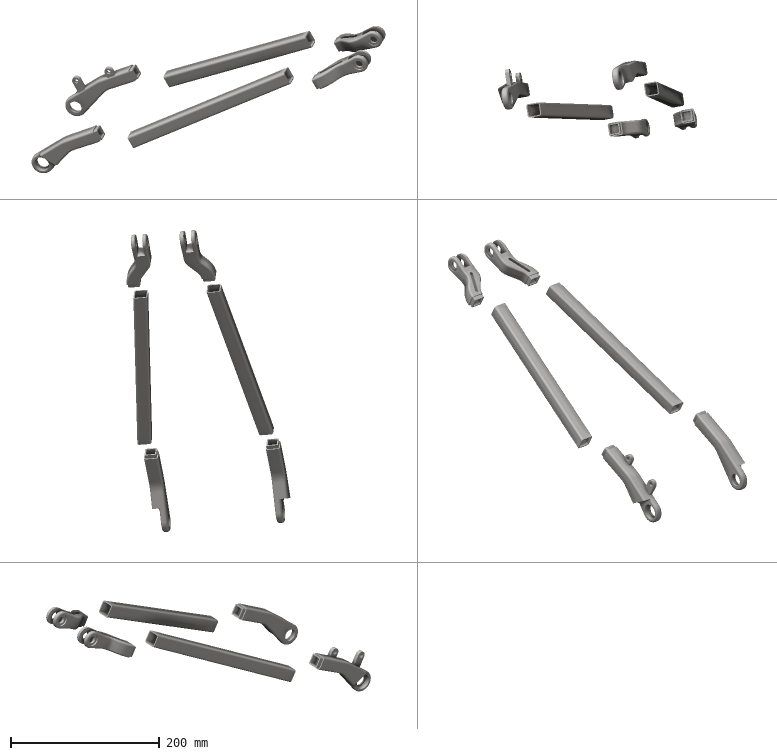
import cadquery as cq
import math

OVERALL_WIDTH = 186.45
PITCH = 29.3
SPLAY = 7.9
BAR_WIDTH = 19.2
BAR_HEIGHT = 18.4
EDGE_RADIUS = 3.0
TUBE_WALL = 1.5
OUTER_Y = OVERALL_WIDTH / 2
INNER_Y = OUTER_Y - BAR_WIDTH

TENON_LENGTH = 5.5
TENON_WIDTH = BAR_WIDTH - 2 * TUBE_WALL
TENON_HEIGHT = BAR_HEIGHT - 2 * TUBE_WALL
TENON_WALL = 1.8
TENON_EDGE_RADIUS = EDGE_RADIUS - TUBE_WALL
SOCKET_EDGE_RADIUS = 1.0
SOCKET_DEPTH = 10.0

EYE_RADIUS = 15.1
EYE_THICKNESS = 9.2
EYE_BORE = 17.0
EYE_COUNTERBORE = 21.0
EYE_LIP = 2.0
BEND_TOP = (31.2, 45.8)
ARM_TOP_LENGTH = 49.6
BEND_BOTTOM = (42.6, 32.4)
BEND_TOP_RADIUS = 45.0
BEND_BOTTOM_RADIUS = 30.0
STEP_START = (-0.6, 19.8)
STEP_ANGLE = -26.3
STEP_FILLET = 2.2

LUG_CENTERS = [(0.7, 40.2), (46.2, 62.4)]
LUG_LENGTHS = [22.0, 13.0]
LUG_RADIUS = 5.8
LUG_HOLE = 6.2
LUG_THICKNESS = 5.6
LUG_INSET = 1.1

TUBE_LENGTH = 241.5
TUBE_START = (128.2, 61.0)

FORK_HEAD = (435.17, 209.32)
FORK_HEAD_RADIUS = 12.0
FORK_REACH = 61.0
FORK_Y = 51.5
FORK_SLANT = 40.0
FORK_FLARE_START = 40.0
CLEVIS_OUTER = -7.4
CLEVIS_WIDTH = 21.3
CLEVIS_INNER = CLEVIS_OUTER - CLEVIS_WIDTH
SLOT_WIDTH = 10.5
SLOT_START = 46.5
OUTER_BEND = 12.0
INNER_BEND = 6.0
OUTER_BEND_RADIUS = 36.0
OUTER_CORNER_RADIUS = 13.0
INNER_BEND_RADIUS = 16.0
INNER_CORNER_RADIUS = 18.0
FORK_EDGE_RADIUS = 2.5
CROSS_HOLE = 10.0
CROSS_COUNTERBORE = 15.8
COUNTERBORE_DEPTH = 2.0
POCKET_START = (7.3, -3.6)
POCKET_END = (34.4, -16.1)
POCKET_WIDTH = 5.0
POCKET_DEPTH = 4.0


def along(angle, distance):
    """Offset of the given length at an angle in degrees."""
    a = math.radians(angle)
    return distance * math.cos(a), distance * math.sin(a)


def along_xz(angle):
    """Unit direction in the XZ plane at an angle above X."""
    x, z = along(angle, 1)
    return x, 0, z


def shifted(point, offset):
    return point[0] + offset[0], point[1] + offset[1]


def tangent_point(corner, center, radius, side):
    """Where a line from corner touches the circle; side +1 or -1 picks the touch point."""
    dx = corner[0] - center[0]
    dz = corner[1] - center[1]
    swing = math.acos(radius / math.hypot(dx, dz))
    a = math.atan2(dz, dx) + side * swing
    return center[0] + radius * math.cos(a), center[1] + radius * math.sin(a)


def pitched(body, x, z, y=0.0):
    """Turns a body from strut axes (length along X) to its place in the part."""
    return body.rotate((0, 0, 0), (0, 1, 0), -PITCH).translate((x, y, z))


def rounded_bar(width, height, length, radius):
    """Bar along +X from the origin with rounded long edges."""
    bar = cq.Workplane("YZ").rect(width, height).extrude(length)
    return bar.edges("|X").fillet(radius)


def with_tenon(body, place):
    """Adds a tenon with a blind socket in its end; place moves it from the origin, pointing along +X."""
    tenon = rounded_bar(TENON_WIDTH, TENON_HEIGHT, TENON_LENGTH, TENON_EDGE_RADIUS)
    socket = rounded_bar(
        TENON_WIDTH - 2 * TENON_WALL, TENON_HEIGHT - 2 * TENON_WALL, SOCKET_DEPTH, SOCKET_EDGE_RADIUS
    ).translate((TENON_LENGTH - SOCKET_DEPTH, 0, 0))
    return body.union(place(tenon)).cut(place(socket))


def arm_plate(width):
    """Eye arm outline with rounded edges, from INNER_Y outwards."""
    shoulder_top = shifted(BEND_TOP, along(PITCH, ARM_TOP_LENGTH))
    shoulder_bottom = shifted(shoulder_top, along(PITCH - 90, BAR_HEIGHT))
    eye_top = tangent_point(BEND_TOP, (0, 0), EYE_RADIUS, 1)
    eye_bottom = tangent_point(BEND_BOTTOM, (0, 0), EYE_RADIUS, -1)
    far_angle = math.degrees(math.atan2(BEND_TOP[1], BEND_TOP[0])) + 180
    plate = (
        cq.Workplane("XZ", origin=(0, INNER_Y, 0))
        .moveTo(*eye_top)
        .lineTo(*BEND_TOP)
        .lineTo(*shoulder_top)
        .lineTo(*shoulder_bottom)
        .lineTo(*BEND_BOTTOM)
        .lineTo(*eye_bottom)
        .threePointArc(along(far_angle, EYE_RADIUS), eye_top)
        .close()
        .extrude(-width)
    )
    middle_y = INNER_Y + width / 2
    for point, radius in [(BEND_TOP, BEND_TOP_RADIUS), (BEND_BOTTOM, BEND_BOTTOM_RADIUS)]:
        bend = cq.NearestToPointSelector((point[0], middle_y, point[1]))
        plate = plate.edges("|Y").edges(bend).fillet(radius)
    across_shoulder = cq.ParallelDirSelector(cq.Vector(*along_xz(PITCH - 90)))
    return plate.faces("<Y or >Y").edges(-across_shoulder).fillet(EDGE_RADIUS)


def step_waste():
    """Everything on the eye side of the step, deep enough to cover the eye."""
    reach = 3 * EYE_RADIUS
    left = shifted(STEP_START, along(STEP_ANGLE, -reach))
    right = shifted(STEP_START, along(STEP_ANGLE, 2 * reach))
    down = along(STEP_ANGLE - 90, reach)
    return (
        cq.Workplane("XZ", origin=(0, INNER_Y, 0))
        .polyline([left, right, shifted(right, down), shifted(left, down)])
        .close()
        .extrude(-BAR_WIDTH)
    )


def step_gusset():
    """Concave rounding in the corner between the step and the eye plate."""
    corner = cq.Plane(
        origin=(STEP_START[0], INNER_Y + EYE_THICKNESS, STEP_START[1]),
        xDir=along_xz(STEP_ANGLE - 90),
        normal=along_xz(STEP_ANGLE),
    )
    near = STEP_FILLET * (1 - math.sqrt(0.5))
    return (
        cq.Workplane(corner)
        .lineTo(STEP_FILLET, 0)
        .threePointArc((near, near), (0, STEP_FILLET))
        .close()
        .extrude(3 * EYE_RADIUS, both=True)
    )


def eye_arm():
    """Bent arm with a thin bored eye at its foot and a tenon at its top."""
    shoulder_top = shifted(BEND_TOP, along(PITCH, ARM_TOP_LENGTH))
    shoulder_middle = shifted(shoulder_top, along(PITCH - 90, BAR_HEIGHT / 2))
    blank = arm_plate(BAR_WIDTH)
    arm = blank.cut(step_waste()).union(arm_plate(EYE_THICKNESS))
    arm = arm.union(step_gusset().intersect(blank))
    arm = with_tenon(arm, lambda part: pitched(part, *shoulder_middle, y=INNER_Y + BAR_WIDTH / 2))
    eye = cq.Workplane("XZ", origin=(0, INNER_Y, 0))
    bore = eye.circle(EYE_BORE / 2).extrude(-EYE_THICKNESS)
    counterbore = (
        eye.workplane(offset=-EYE_LIP).circle(EYE_COUNTERBORE / 2).extrude(EYE_LIP - EYE_THICKNESS)
    )
    return arm.cut(bore).cut(counterbore)


def lug(center, length):
    """Eyed lug standing square to the strut axis, near the arm's inner face."""
    blank = (
        cq.Workplane("XZ")
        .moveTo(-LUG_RADIUS, -length)
        .lineTo(-LUG_RADIUS, 0)
        .threePointArc((0, LUG_RADIUS), (LUG_RADIUS, 0))
        .lineTo(LUG_RADIUS, -length)
        .close()
        .moveTo(0, 0)
        .circle(LUG_HOLE / 2)
        .extrude(-LUG_THICKNESS)
    )
    return pitched(blank, *center, y=INNER_Y + LUG_INSET)


def lugged_arm():
    """Eye arm with the two lugs on its top."""
    arm = eye_arm()
    for center, length in zip(LUG_CENTERS, LUG_LENGTHS):
        arm = arm.union(lug(center, length))
    return arm


def leaning_bar(width, height, radius):
    """Bar leaning inwards by SPLAY, its ends square to the strut axis."""
    lean = TUBE_LENGTH * math.tan(math.radians(SPLAY))
    bar = (
        cq.Workplane("XY", origin=(0, 0, -height / 2))
        .polyline([(0, -width / 2), (TUBE_LENGTH, -width / 2 - lean),
                   (TUBE_LENGTH, width / 2 - lean), (0, width / 2)])
        .close()
        .extrude(height)
    )
    long_edges = cq.ParallelDirSelector(cq.Vector(TUBE_LENGTH, -lean, 0))
    return bar.edges(long_edges).fillet(radius)


def tube():
    """Thin-walled tube between arm and fork."""
    outside = leaning_bar(BAR_WIDTH, BAR_HEIGHT, EDGE_RADIUS)
    inside = leaning_bar(TENON_WIDTH, TENON_HEIGHT, TENON_EDGE_RADIUS)
    return pitched(outside.cut(inside), *TUBE_START, y=OUTER_Y - BAR_WIDTH / 2)


def slant_corners(start_y, first_run, clevis_y):
    """Corners of one side of the fork: end of the tube's lean, then start of the clevis."""
    first_y = start_y - first_run * math.tan(math.radians(SPLAY))
    slant_run = (first_y - clevis_y) / math.tan(math.radians(FORK_SLANT))
    return (first_run, first_y), (first_run + slant_run, clevis_y)


def fork_plan():
    """Block seen along the fork's height: slanted stretch, then straight clevis."""
    end = FORK_REACH + 2 * FORK_HEAD_RADIUS
    half = BAR_WIDTH / 2
    outer_first, outer_second = slant_corners(half, OUTER_BEND, CLEVIS_OUTER)
    inner_first, inner_second = slant_corners(-half, INNER_BEND, CLEVIS_INNER)
    plan = (
        cq.Workplane("XY", origin=(0, 0, -FORK_HEAD_RADIUS))
        .polyline([(0, half), outer_first, outer_second, (end, CLEVIS_OUTER),
                   (end, CLEVIS_INNER), inner_second, inner_first, (0, -half)])
        .close()
        .extrude(2 * FORK_HEAD_RADIUS)
    )
    bends = [
        (outer_first, OUTER_BEND_RADIUS),
        (outer_second, OUTER_CORNER_RADIUS),
        (inner_first, INNER_BEND_RADIUS),
        (inner_second, INNER_CORNER_RADIUS),
    ]
    for point, radius in bends:
        plan = plan.edges("|Z").edges(cq.NearestToPointSelector((*point, 0))).fillet(radius)
    return plan


def fork_profile():
    """Side outline: constant height, then flaring to the round head."""
    head = (FORK_REACH, 0)
    half = BAR_HEIGHT / 2
    flare_top = (FORK_FLARE_START, half)
    flare_bottom = (FORK_FLARE_START, -half)
    head_top = tangent_point(flare_top, head, FORK_HEAD_RADIUS, -1)
    head_bottom = tangent_point(flare_bottom, head, FORK_HEAD_RADIUS, 1)
    return (
        cq.Workplane("XZ")
        .moveTo(0, half)
        .lineTo(*flare_top)
        .lineTo(*head_top)
        .threePointArc((FORK_REACH + FORK_HEAD_RADIUS, 0), head_bottom)
        .lineTo(*flare_bottom)
        .lineTo(0, -half)
        .close()
        .extrude(3 * CLEVIS_WIDTH, both=True)
    )


def pocket():
    """Round-ended pocket along the slanted stretch, sunk into the top."""
    dx = POCKET_END[0] - POCKET_START[0]
    dy = POCKET_END[1] - POCKET_START[1]
    middle = ((POCKET_START[0] + POCKET_END[0]) / 2, (POCKET_START[1] + POCKET_END[1]) / 2)
    return (
        cq.Workplane("XY", origin=(*middle, BAR_HEIGHT / 2))
        .slot2D(math.hypot(dx, dy) + POCKET_WIDTH, POCKET_WIDTH, math.degrees(math.atan2(dy, dx)))
        .extrude(-POCKET_DEPTH)
    )


def fork():
    """Slanted fork with a slotted clevis at its head and a tenon at its shoulder."""
    clevis_middle = CLEVIS_OUTER - CLEVIS_WIDTH / 2
    body = fork_plan().intersect(fork_profile())
    body = body.edges("not (|Y or |Z)").fillet(FORK_EDGE_RADIUS)
    slot_length = FORK_REACH + FORK_HEAD_RADIUS - SLOT_START
    slot = cq.Workplane().box(slot_length, SLOT_WIDTH, 2 * FORK_HEAD_RADIUS, centered=(False, True, True))
    body = body.cut(slot.translate((SLOT_START, clevis_middle, 0)))
    across = cq.Workplane("XZ", origin=(FORK_REACH, clevis_middle, 0))
    body = body.cut(across.circle(CROSS_HOLE / 2).extrude(CLEVIS_WIDTH, both=True))
    for side in (-1, 1):
        face = across.workplane(offset=side * CLEVIS_WIDTH / 2)
        body = body.cut(face.circle(CROSS_COUNTERBORE / 2).extrude(-side * COUNTERBORE_DEPTH))
    body = body.cut(pocket())
    body = with_tenon(body, lambda part: part.rotate((0, 0, 0), (0, 0, 1), 180))
    rise = along(PITCH, FORK_REACH)
    return pitched(body, FORK_HEAD[0] - rise[0], FORK_HEAD[1] - rise[1], FORK_Y)


left_arm = lugged_arm()
plain_arm = eye_arm()
left_tube = tube()
left_fork = fork()
bodies = [left_arm.val(), left_tube.val(), left_fork.val()]

for left_body in (plain_arm, left_tube, left_fork):
    bodies.append(left_body.mirror("XZ").val())

result = cq.Compound.makeCompound(bodies)